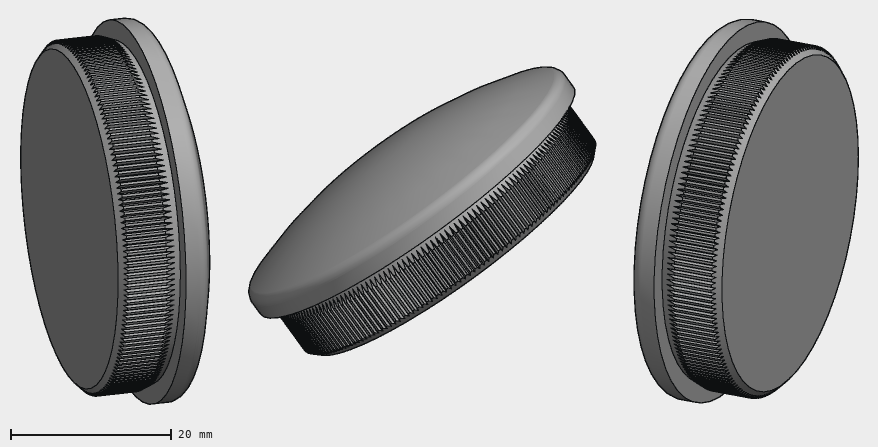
import cadquery as cq
import math


head_radius = 24.15
total_height = 15.5
plug_height = 8.0
rim_wall_height = 1.85
rim_fillet = 1.4

plug_radius = 22.35
plug_chamfer = 1.0
neck_radius = 21.65
taper_height = 1.95

groove_count = 190
groove_depth = 0.41
groove_width = 0.41
knurl_clearance = 0.1


def make_head():
    fillet_base = plug_height + rim_wall_height
    fillet_center_x = head_radius - rim_fillet

    rise = total_height - fillet_base
    dome_radius = (fillet_center_x**2 + rise**2 - rim_fillet**2) / (2 * (rise - rim_fillet))
    dome_center_y = total_height - dome_radius
    edge_angle = math.asin(fillet_center_x / (dome_radius - rim_fillet))

    def fillet_point(angle):
        return (
            fillet_center_x + rim_fillet * math.sin(angle),
            fillet_base + rim_fillet * math.cos(angle),
        )

    def dome_point(angle):
        return (
            dome_radius * math.sin(angle),
            dome_center_y + dome_radius * math.cos(angle),
        )

    fillet_middle_angle = (edge_angle + math.pi / 2) / 2
    return (
        cq.Workplane("XY")
        .moveTo(0, plug_height)
        .lineTo(head_radius, plug_height)
        .lineTo(head_radius, fillet_base)
        .threePointArc(fillet_point(fillet_middle_angle), fillet_point(edge_angle))
        .threePointArc(dome_point(edge_angle / 2), (0, total_height))
        .close()
        .revolve(360, (0, 0), (0, 1))
    )


def make_plain_plug():
    return (
        cq.Workplane("XY")
        .lineTo(plug_radius - plug_chamfer, 0)
        .lineTo(plug_radius, plug_chamfer)
        .lineTo(plug_radius, plug_height - taper_height)
        .lineTo(neck_radius, plug_height)
        .lineTo(0, plug_height)
        .close()
        .revolve(360, (0, 0), (0, 1))
    )


def make_knurl_prism():
    """Prism with V grooves around it, one of them at +Z; the plug is trimmed to it."""
    root_radius = plug_radius - groove_depth
    outer_radius = plug_radius + knurl_clearance
    outer_width = groove_width * (groove_depth + knurl_clearance) / groove_depth
    half_angle = math.asin(outer_width / 2 / outer_radius)

    def polar(radius, angle):
        return (radius * math.cos(angle), radius * math.sin(angle))

    outline = []
    for index in range(groove_count):
        angle = math.pi / 2 + index * 2 * math.pi / groove_count
        outline.append(polar(outer_radius, angle - half_angle))
        outline.append(polar(root_radius, angle))
        outline.append(polar(outer_radius, angle + half_angle))

    return cq.Workplane("XZ").polyline(outline).close().extrude(-plug_height)


knurled_plug = make_plain_plug().intersect(make_knurl_prism())
result = make_head().union(knurled_plug)